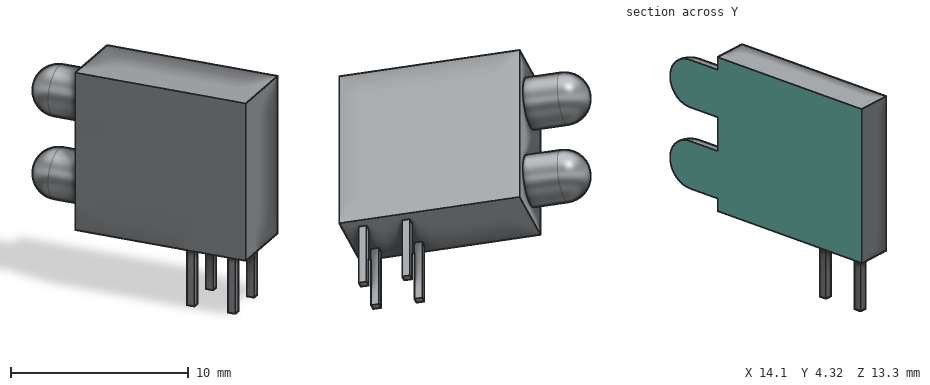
import cadquery as cq

housing_length = 10.56
housing_width = 4.32
housing_height = 9.65

led_diameter = 3.0
led_radius = led_diameter / 2
led_protrusion = 3.5
led_barrel_length = led_protrusion - led_radius
led_pitch = 5.08

lead_size = 0.46
lead_length = 3.68
lead_pitch = 2.54
rear_lead_to_back_face = 1.18

back_x = lead_pitch / 2 + rear_lead_to_back_face
front_x = back_x - housing_length
led_heights = [(housing_height - led_pitch) / 2, (housing_height + led_pitch) / 2]


def make_housing():
    return cq.Workplane("XY").box(
        housing_length, housing_width, housing_height, centered=(False, True, False)
    ).translate((front_x, 0, 0))


def make_led(height):
    """Cylindrical barrel with a hemispherical dome, pointing to -X."""
    dome_base_x = front_x - led_barrel_length
    half_profile = (
        cq.Workplane("XZ")
        .moveTo(front_x, height)
        .lineTo(front_x, height + led_radius)
        .lineTo(dome_base_x, height + led_radius)
        .radiusArc((dome_base_x - led_radius, height), -led_radius)
        .close()
    )
    return half_profile.revolve(360, (front_x, height, 0), (dome_base_x, height, 0))


def make_leads():
    return (
        cq.Workplane("XY")
        .rarray(lead_pitch, lead_pitch, 2, 2)
        .rect(lead_size, lead_size)
        .extrude(-lead_length)
    )


result = make_housing().union(make_leads())
for led_height in led_heights:
    result = result.union(make_led(led_height))